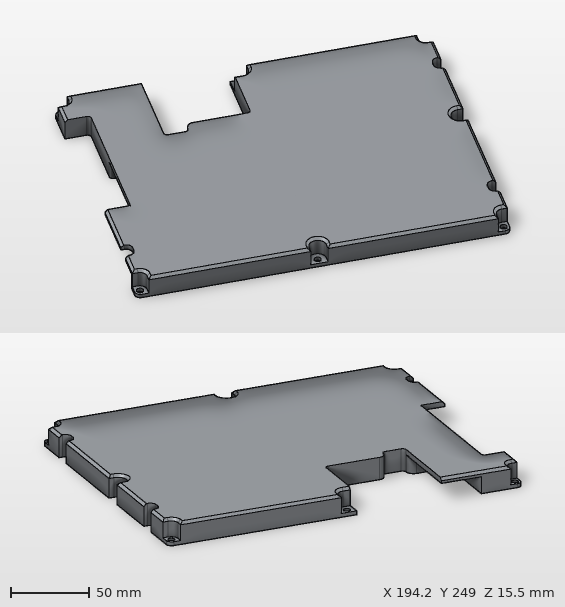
import cadquery as cq
import math

LENGTH_X = 194.2
LENGTH_Y = 249.0
HEIGHT = 15.5
HALF_X = LENGTH_X / 2
HALF_Y = LENGTH_Y / 2
CORNER_RADIUS = 3.7
EDGE_CHAMFER = 1.87
FLARE_ANGLE = 45

FLANGE_THICKNESS = 2.7
SCREW_HOLE_DIAMETER = 4.5
SCREW_INSET_X = 4.2
SCREW_INSET_Y = 3.7
CORNER_POCKET_RADIUS = 4.7
SIDE_POCKET_RADIUS = 5.7
SIDE_SCREW_Y = -2.7

SMALL_NOTCH_WIDTH = 11.0
SMALL_NOTCH_RADIUS = 4.2
SMALL_NOTCH_DEPTH = 6.7
LEFT_NOTCH_X = -64.2
RIGHT_NOTCH_X = 66.2
LARGE_NOTCH_RADIUS = 6.0
LARGE_NOTCH_DEPTH = 9.5
LARGE_NOTCH_X = -11.2

INNER_RADIUS = 2.5
SHOULDER_RADIUS = 5.0

CUTOUT_BACK_Y = -7.7
CUTOUT_STEP_Y = -51.0
CUTOUT_FRONT_Y = -67.2
CUTOUT_WALL_X = -48.0
CUTOUT_DEEP_X = -40.3

SLOT_LEFT_X = -72.2
SLOT_RIGHT_X = 23.0
SLOT_BACK_Y = -107.5

ROOF_THICKNESS = 3.7
RECESS_HEIGHT = HEIGHT - ROOF_THICKNESS
LEFT_RECESS_FRONT_Y = -95.4
LEFT_RECESS_SLANT = 11.2
FRONT_RECESS_LEFT_X = -25.0
FRONT_RECESS_STEP_X = 30.1
FRONT_RECESS_RIGHT_X = 86.5
FRONT_RECESS_END_RADIUS = 1.2
FRONT_RECESS_DEEP_Y = -93.4
FRONT_RECESS_SHALLOW_Y = -98.4

OVERCUT = 2.5


def prism(points, bottom, top):
    """Upright prism over a closed outline."""
    return cq.Workplane("XY").workplane(offset=bottom).polyline(points).close().extrude(top - bottom)


def round_upright_edge(body, x, y, radius):
    """Fillet the upright edge standing at (x, y)."""
    reach = 0.02
    selector = cq.selectors.BoxSelector(
        (x - reach, y - reach, -HEIGHT), (x + reach, y + reach, 2 * HEIGHT)
    )
    return body.edges("|Z").edges(selector).fillet(radius)


def u_outline(x, y, radius, angle, z):
    """Slot outline round about (x, y), running straight out along the given angle from +X."""
    run = 2 * radius + OVERCUT
    plane = cq.Workplane("XY").workplane(offset=z).transformed(rotate=(0, 0, angle), offset=(x, y, 0))
    return (
        plane.moveTo(run, radius)
        .lineTo(0, radius)
        .threePointArc((-radius, 0), (0, -radius))
        .lineTo(run, -radius)
        .close()
    )


def corner_outline(x, y, radius, out_x, out_y, z):
    """Quarter-round outline about (x, y), open towards the out_x and out_y signs."""
    run = 2 * radius + OVERCUT
    diagonal = radius * math.sqrt(0.5)
    return (
        cq.Workplane("XY")
        .workplane(offset=z)
        .moveTo(x - out_x * radius, y)
        .threePointArc((x - out_x * diagonal, y - out_y * diagonal), (x, y - out_y * radius))
        .lineTo(x + out_x * run, y - out_y * radius)
        .lineTo(x + out_x * run, y + out_y * run)
        .lineTo(x - out_x * radius, y + out_y * run)
        .close()
    )


def flared_cutter(outline, sizes, bottom):
    """Cutter from bottom to the top face, widening at 45 degrees through the top chamfer."""
    flare_z = HEIGHT - EDGE_CHAMFER
    straight = outline(*sizes, bottom).extrude(HEIGHT - bottom)
    flare = outline(*sizes, flare_z).extrude(EDGE_CHAMFER, taper=-FLARE_ANGLE)
    return straight.union(flare)


body = cq.Workplane("XY").box(LENGTH_X, LENGTH_Y, HEIGHT, centered=(True, True, False))
body = body.edges("|Z").fillet(CORNER_RADIUS).faces(">Z").chamfer(EDGE_CHAMFER)

body = body.cut(
    prism(
        [
            (-HALF_X - OVERCUT, CUTOUT_BACK_Y),
            (CUTOUT_WALL_X, CUTOUT_BACK_Y),
            (CUTOUT_WALL_X, CUTOUT_STEP_Y),
            (CUTOUT_DEEP_X, CUTOUT_STEP_Y),
            (CUTOUT_DEEP_X, CUTOUT_FRONT_Y),
            (-HALF_X - OVERCUT, CUTOUT_FRONT_Y),
        ],
        -OVERCUT,
        HEIGHT + OVERCUT,
    )
)
body = round_upright_edge(body, CUTOUT_WALL_X, CUTOUT_STEP_Y, SHOULDER_RADIUS)
for inner_x, inner_y in [
    (CUTOUT_WALL_X, CUTOUT_BACK_Y),
    (CUTOUT_DEEP_X, CUTOUT_STEP_Y),
    (CUTOUT_DEEP_X, CUTOUT_FRONT_Y),
]:
    body = round_upright_edge(body, inner_x, inner_y, INNER_RADIUS)

body = body.cut(
    prism(
        [
            (SLOT_LEFT_X, -HALF_Y - OVERCUT),
            (SLOT_LEFT_X, SLOT_BACK_Y),
            (SLOT_RIGHT_X, SLOT_BACK_Y),
            (SLOT_RIGHT_X, -HALF_Y - OVERCUT),
        ],
        -OVERCUT,
        HEIGHT + OVERCUT,
    )
)
body = round_upright_edge(body, SLOT_LEFT_X, SLOT_BACK_Y, INNER_RADIUS)

slant_back_y = LEFT_RECESS_FRONT_Y + LEFT_RECESS_SLANT
body = body.cut(
    prism(
        [
            (-HALF_X - OVERCUT, CUTOUT_FRONT_Y),
            (CUTOUT_WALL_X, CUTOUT_FRONT_Y),
            (CUTOUT_WALL_X, slant_back_y),
            (CUTOUT_WALL_X - LEFT_RECESS_SLANT, LEFT_RECESS_FRONT_Y),
            (-HALF_X - OVERCUT, LEFT_RECESS_FRONT_Y),
        ],
        -OVERCUT,
        RECESS_HEIGHT,
    )
)
body = round_upright_edge(body, CUTOUT_WALL_X, CUTOUT_FRONT_Y, SHOULDER_RADIUS)
body = round_upright_edge(body, CUTOUT_WALL_X, slant_back_y, INNER_RADIUS)
body = round_upright_edge(body, CUTOUT_WALL_X - LEFT_RECESS_SLANT, LEFT_RECESS_FRONT_Y, INNER_RADIUS)

body = body.cut(
    prism(
        [
            (FRONT_RECESS_LEFT_X, -HALF_Y - OVERCUT),
            (FRONT_RECESS_LEFT_X, FRONT_RECESS_DEEP_Y),
            (FRONT_RECESS_STEP_X, FRONT_RECESS_DEEP_Y),
            (FRONT_RECESS_STEP_X, FRONT_RECESS_SHALLOW_Y),
            (FRONT_RECESS_RIGHT_X, FRONT_RECESS_SHALLOW_Y),
            (FRONT_RECESS_RIGHT_X, -HALF_Y - OVERCUT),
        ],
        -OVERCUT,
        RECESS_HEIGHT,
    )
)
body = round_upright_edge(body, FRONT_RECESS_LEFT_X, SLOT_BACK_Y, INNER_RADIUS)
body = round_upright_edge(body, FRONT_RECESS_STEP_X, FRONT_RECESS_DEEP_Y, INNER_RADIUS)
body = round_upright_edge(body, FRONT_RECESS_RIGHT_X, FRONT_RECESS_SHALLOW_Y, FRONT_RECESS_END_RADIUS)

for notch_x, side_y in [(LEFT_NOTCH_X, 1), (RIGHT_NOTCH_X, 1), (RIGHT_NOTCH_X, -1)]:
    notch = cq.Workplane("XY").box(SMALL_NOTCH_WIDTH, 2 * SMALL_NOTCH_DEPTH, 3 * HEIGHT)
    notch = notch.edges("|Z").fillet(SMALL_NOTCH_RADIUS)
    body = body.cut(notch.translate((notch_x, side_y * HALF_Y, 0)))

large_notch_y = HALF_Y - LARGE_NOTCH_DEPTH + LARGE_NOTCH_RADIUS
body = body.cut(
    flared_cutter(u_outline, (LARGE_NOTCH_X, large_notch_y, LARGE_NOTCH_RADIUS, 90), -OVERCUT)
)

screw_x = HALF_X - SCREW_INSET_X
screw_y = HALF_Y - SCREW_INSET_Y
for side_x in (-1, 1):
    for side_y in (-1, 1):
        sizes = (side_x * screw_x, side_y * screw_y, CORNER_POCKET_RADIUS, side_x, side_y)
        body = body.cut(flared_cutter(corner_outline, sizes, FLANGE_THICKNESS))
left_sizes = (-screw_x, SIDE_SCREW_Y, SIDE_POCKET_RADIUS, -1, -1)
body = body.cut(flared_cutter(corner_outline, left_sizes, FLANGE_THICKNESS))
right_sizes = (screw_x, SIDE_SCREW_Y, SIDE_POCKET_RADIUS, 0)
body = body.cut(flared_cutter(u_outline, right_sizes, FLANGE_THICKNESS))

hole_places = [(sx * screw_x, y) for sx in (-1, 1) for y in (-screw_y, SIDE_SCREW_Y, screw_y)]
holes = cq.Workplane("XY").pushPoints(hole_places).circle(SCREW_HOLE_DIAMETER / 2)
result = body.cut(holes.extrude(HEIGHT))